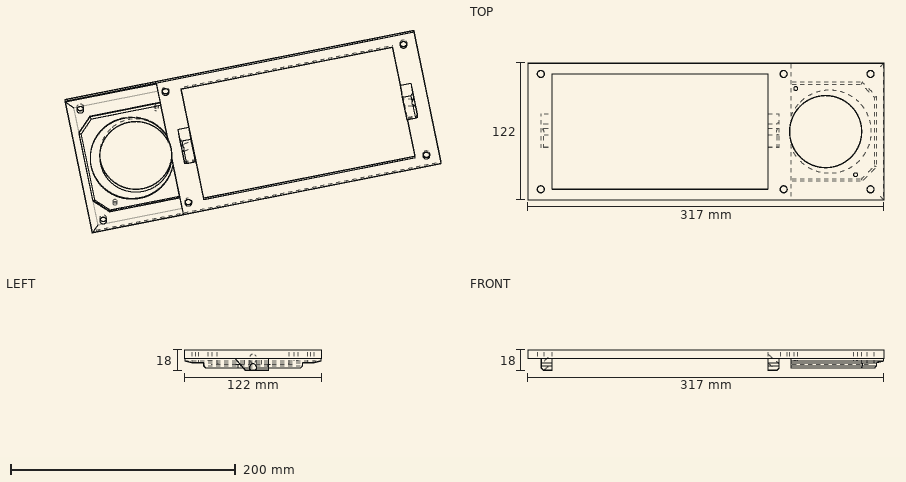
import cadquery as cq

length = 317.0
width = 122.0
plate_thickness = 7.5

window_left = 21.5
window_length = 192.0
window_width = 102.5
opening_x = 265.0
opening_diameter = 64.0

screw_diameter = 6.0
screw_columns = (11.5, 227.5, 305.0)
screw_y = 51.5
pilot_diameter = 3.5
pilot_depth = 9.5
pilot_offset_x = 26.5
pilot_offset_y = 38.5

housing_left = 234.0
flange_inset = 0.3
flange_depth = 3.8
flange_edge_drop = 2.2
flange_edge_run = 6.3
step_right = 310.5
step_width = 88.0
step_depth = 8.5
step_corner = 12.7
step_chamfer = 2.0
recess_x = 268.5
recess_diameter = 74.2
recess_depth = 3.2

lug_thickness = 9.8
lug_height = 10.5
lug_front = -14.0
lug_tip_back = 7.0
lug_root_back = 16.0
lug_hole_diameter = 6.0
lug_hole_outer_height = 2.0
lug_chamfer = 2.0
groove_top = 3.8
groove_height = 3.0
groove_depth = 0.3


def make_plate():
    plate = cq.Workplane("XY", origin=(0, 0, -plate_thickness))
    return plate.box(length, width, plate_thickness, centered=(False, True, False))


def make_housing():
    bottom = -plate_thickness
    flange_length = length - flange_inset - housing_left
    flange_width = width - 2 * flange_inset
    flange = (
        cq.Workplane("XY", origin=(housing_left, 0, bottom - flange_depth))
        .box(flange_length, flange_width, flange_depth, centered=(False, True, False))
        .faces("<Z").edges(">X or >Y or <Y")
        .chamfer(flange_depth - flange_edge_drop, flange_edge_run)
    )
    step = (
        cq.Workplane("XY", origin=(housing_left, 0, bottom - step_depth))
        .box(step_right - housing_left, step_width, step_depth, centered=(False, True, False))
        .edges("|Z and >X")
        .chamfer(step_corner)
        .faces("<Z").edges("not <X")
        .chamfer(step_chamfer)
    )
    return flange.union(step)


def make_right_lug():
    inner = window_left + window_length
    top = -plate_thickness
    tip = top - lug_height
    profile = [(lug_front, top), (lug_front, tip), (lug_tip_back, tip), (lug_root_back, top)]
    lug = cq.Workplane("YZ", origin=(inner, 0, 0)).polyline(profile).close().extrude(lug_thickness)
    lug = lug.faces("<Z").edges(">X").chamfer(lug_chamfer)
    groove = (
        cq.Workplane("XY", origin=(inner, lug_front, top - groove_top - groove_height))
        .box(lug_thickness, groove_depth, groove_height, centered=False)
    )
    return lug.cut(groove)


def make_right_lug_hole():
    inner = window_left + window_length
    drop = lug_height - lug_hole_outer_height
    direction = cq.Vector(lug_thickness, 0, -drop)
    middle = cq.Vector(inner, 0, -plate_thickness) + direction * 0.5
    start = middle - direction
    return cq.Workplane(
        cq.Solid.makeCylinder(lug_hole_diameter / 2, 2 * direction.Length, start, direction)
    )


def mirror_across_window(body):
    window_middle = window_left + window_length / 2
    return body.mirror("YZ", (window_middle, 0, 0))


def vertical_holes(points, diameter, depth):
    return cq.Workplane("XY").pushPoints(points).circle(diameter / 2).extrude(-depth)


full_depth = plate_thickness + step_depth
screw_points = [(x, side * screw_y) for x in screw_columns for side in (-1, 1)]
pilot_points = [(opening_x + side * pilot_offset_x, -side * pilot_offset_y) for side in (-1, 1)]
window = (
    cq.Workplane("XY", origin=(window_left, 0, -plate_thickness))
    .box(window_length, window_width, plate_thickness, centered=(False, True, False))
)
recess = (
    cq.Workplane("XY", origin=(recess_x, 0, -full_depth))
    .circle(recess_diameter / 2)
    .extrude(recess_depth)
)
right_lug = make_right_lug()
right_lug_hole = make_right_lug_hole()

result = make_plate().union(make_housing()).cut(window)
result = result.union(right_lug).union(mirror_across_window(right_lug))
result = result.cut(right_lug_hole).cut(mirror_across_window(right_lug_hole))
result = result.cut(vertical_holes(screw_points, screw_diameter, full_depth))
result = result.cut(vertical_holes(pilot_points, pilot_diameter, pilot_depth))
result = result.cut(vertical_holes([(opening_x, 0)], opening_diameter, full_depth))
result = result.cut(recess)